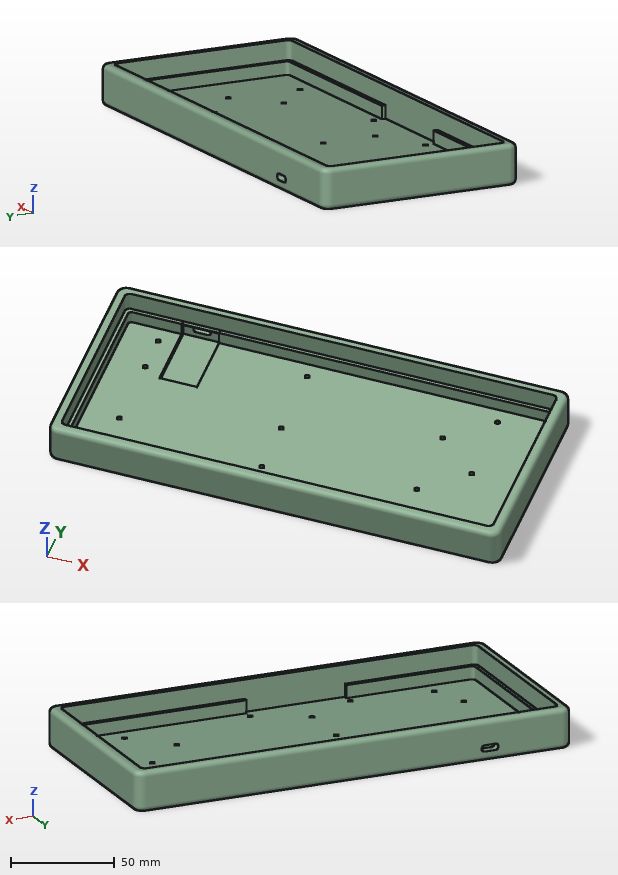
import cadquery as cq

LENGTH = 231.0
WIDTH = 107.2
HEIGHT = 20.5
CORNER_RADIUS = 5.0
EDGE_RADIUS = 2.5

WALL = 5.0
LEDGE_WIDTH = 2.0
LEDGE_Z = 10.6
FLOOR_Z = 4.0
CAVITY_RADIUS = 2.5
LOWER_CAVITY_RADIUS = 1.8

LEDGE_GAP_LEFT = -40.7
LEDGE_GAP_RIGHT = 12.5

POCKET_CENTER_X = -71.9
POCKET_WIDTH = 19.2
POCKET_FRONT_Y = 13.9
POCKET_DEPTH = 2.0
RECESS_DEPTH = 2.5
RECESS_ROOF = 0.5

PORT_WIDTH = 8.8
PORT_HEIGHT = 3.2
PORT_Z = 6.5

HOLE_DIAMETER = 2.2
KEY_PITCH = 19.06
FRONT_HOLE_Y = -42.0
HOLE_POINTS = [
    (-90.5, 2 * KEY_PITCH),
    (-90.5, KEY_PITCH),
    (-90.5, -KEY_PITCH),
    (-83.5, -2 * KEY_PITCH),
    (-14.3, 2 * KEY_PITCH),
    (-14.3, 0),
    (-14.3, -1.5 * KEY_PITCH),
    (61.7, KEY_PITCH),
    (61.7, -KEY_PITCH),
    (83.2, 2 * KEY_PITCH),
    (83.2, 0),
    (80.9, -2 * KEY_PITCH),
    (LEDGE_GAP_LEFT, FRONT_HOLE_Y),
    (LEDGE_GAP_RIGHT, FRONT_HOLE_Y),
]

CAVITY_LENGTH = LENGTH - 2 * WALL
CAVITY_WIDTH = WIDTH - 2 * WALL
LOWER_LENGTH = CAVITY_LENGTH - 2 * LEDGE_WIDTH
LOWER_WIDTH = CAVITY_WIDTH - 2 * LEDGE_WIDTH


def box_between(x_range, y_range, z_range):
    """Box spanning the given (low, high) ranges."""
    sizes = [high - low for low, high in (x_range, y_range, z_range)]
    corner = (x_range[0], y_range[0], z_range[0])
    return cq.Workplane("XY").box(*sizes, centered=False).translate(corner)


def rounded_block(length, width, bottom, top, radius):
    """Block centered in plan with rounded vertical edges."""
    block = cq.Workplane("XY").workplane(offset=bottom).rect(length, width).extrude(top - bottom)
    return block.edges("|Z").fillet(radius)


def outer_block():
    block = rounded_block(LENGTH, WIDTH, 0, HEIGHT, CORNER_RADIUS)
    return block.faces("<Z or >Z").edges().fillet(EDGE_RADIUS)


def stepped_cavity():
    upper = rounded_block(CAVITY_LENGTH, CAVITY_WIDTH, LEDGE_Z, HEIGHT, CAVITY_RADIUS)
    lower = rounded_block(LOWER_LENGTH, LOWER_WIDTH, FLOOR_Z, LEDGE_Z, LOWER_CAVITY_RADIUS)
    return upper.union(lower)


def ledge_gap():
    return box_between(
        (LEDGE_GAP_LEFT, LEDGE_GAP_RIGHT),
        (-CAVITY_WIDTH / 2, -LOWER_WIDTH / 2 + LEDGE_WIDTH),
        (FLOOR_Z, LEDGE_Z),
    )


def controller_pocket():
    """Pocket that runs under the back ledge, leaving a thin roof there."""
    return box_between(
        (POCKET_CENTER_X - POCKET_WIDTH / 2, POCKET_CENTER_X + POCKET_WIDTH / 2),
        (POCKET_FRONT_Y, LOWER_WIDTH / 2 + RECESS_DEPTH),
        (FLOOR_Z - POCKET_DEPTH, LEDGE_Z - RECESS_ROOF),
    )


def connector_port():
    return (
        cq.Workplane("XZ", origin=(POCKET_CENTER_X, WIDTH / 2, PORT_Z))
        .slot2D(PORT_WIDTH, PORT_HEIGHT)
        .extrude(WALL + LEDGE_WIDTH)
    )


def screw_holes():
    return cq.Workplane("XY").pushPoints(HOLE_POINTS).circle(HOLE_DIAMETER / 2).extrude(LEDGE_Z)


result = (
    outer_block()
    .cut(stepped_cavity())
    .cut(ledge_gap())
    .cut(controller_pocket())
    .cut(connector_port())
    .cut(screw_holes())
)